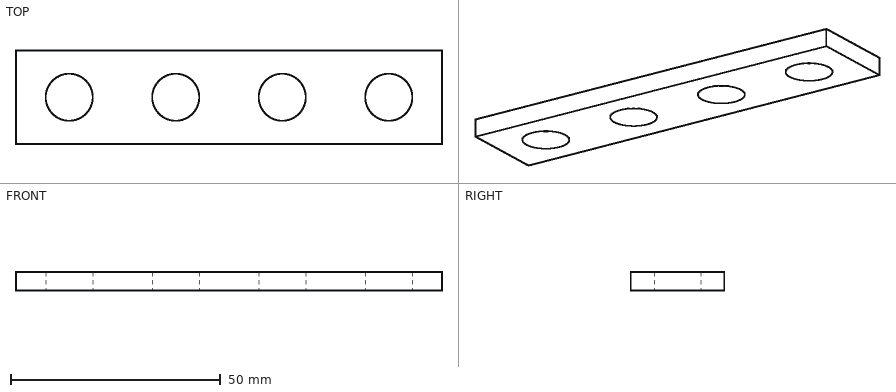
import cadquery as cq

length = 101.6
width = 22.4
thickness = 4.5

hole_count = 4
hole_diameter = 11.2
hole_pitch = length / hole_count

bar = cq.Workplane("XY").box(length, width, thickness)

result = (
    bar.faces(">Z")
    .workplane()
    .rarray(hole_pitch, width, hole_count, 1)
    .hole(hole_diameter)
)